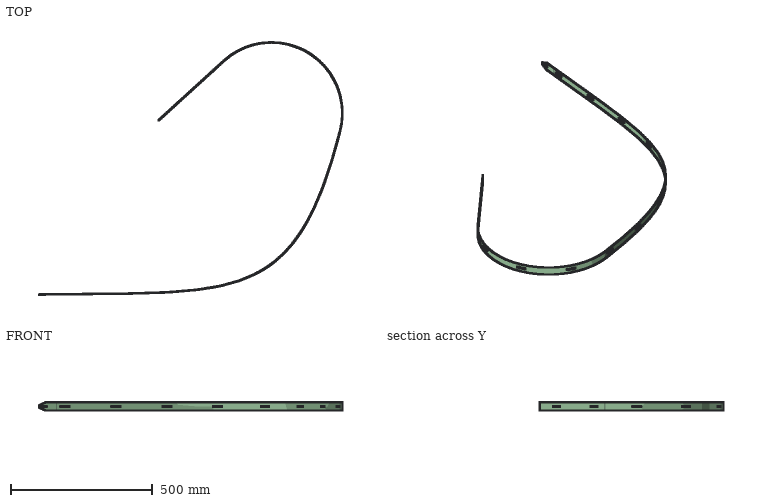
import cadquery as cq
import math

STRIP_WIDTH = 30.0
STRIP_THICKNESS = 2.0

HOOK_RADIUS = 250.0
HOOK_START_ANGLE = -14.3
HOOK_END_ANGLE = 132.35
END_LENGTH = 312.0
TAIL_JOIN = (-758.8, -639.7)
TAIL_ANGLE = 0.75
TAIL_LENGTH = 63.0

TAIL_HANDLE = 643.6
HOOK_HANDLE = 630.0

TIP_WIDTH = 8.0
TIP_LENGTH = 24.0

SLOT_HEIGHT = 3.0
SLOT_LENGTH = 32.0
SLOT_PITCH = 180.0
SLOT_COUNT = 13
FIRST_SLOT = 92.0
TIP_SLOT_LENGTH = 22.0
TIP_SLOT = 16.5


def heading(angle):
    """Unit vector in the XY plane at an angle in degrees from +X."""
    return cq.Vector(math.cos(math.radians(angle)), math.sin(math.radians(angle)))


def build_centre_line():
    """Straight tail, Bezier bend, hook arc and straight end, each tangent to the next."""
    tail_direction = heading(TAIL_ANGLE)
    tail_join = cq.Vector(*TAIL_JOIN)
    tip = tail_join - tail_direction * TAIL_LENGTH

    hook_start = heading(HOOK_START_ANGLE) * HOOK_RADIUS
    hook_middle = heading((HOOK_START_ANGLE + HOOK_END_ANGLE) / 2) * HOOK_RADIUS
    hook_end = heading(HOOK_END_ANGLE) * HOOK_RADIUS
    bend_points = [
        tail_join,
        tail_join + tail_direction * TAIL_HANDLE,
        hook_start - heading(HOOK_START_ANGLE + 90) * HOOK_HANDLE,
        hook_start,
    ]
    strip_end = hook_end + heading(HOOK_END_ANGLE + 90) * END_LENGTH

    return cq.Wire.assembleEdges(
        [
            cq.Edge.makeLine(tip, tail_join),
            cq.Edge.makeBezier(bend_points),
            cq.Edge.makeThreePointArc(hook_start, hook_middle, hook_end),
            cq.Edge.makeLine(hook_end, strip_end),
        ]
    )


def plane_at(centre_line, distance):
    """Plane at a distance from the tip: x along the strip, y across its width."""
    fraction = distance / centre_line.Length()
    origin = centre_line.positionAt(fraction)
    direction = centre_line.tangentAt(fraction)
    return cq.Plane(origin, direction, direction.cross(cq.Vector(0, 0, 1)))


def build_strip(centre_line):
    """Rectangular section swept along the centre line."""
    start = centre_line.positionAt(0)
    section = cq.Plane(start, (0, 0, 1), centre_line.tangentAt(0))
    return (
        cq.Workplane(section)
        .rect(STRIP_WIDTH, STRIP_THICKNESS)
        .sweep(cq.Workplane(centre_line), transition="right")
    )


def tip_corner_cutter(centre_line, side):
    """Triangular prism that bevels one corner of the tip; side is +1 or -1."""
    corners = [
        (0, side * TIP_WIDTH / 2),
        (0, side * STRIP_WIDTH / 2),
        (TIP_LENGTH, side * STRIP_WIDTH / 2),
    ]
    return (
        cq.Workplane(plane_at(centre_line, 0))
        .polyline(corners)
        .close()
        .extrude(STRIP_THICKNESS, both=True)
    )


def slot_cutter(centre_line, distance, length):
    """Rectangular prism through the strip, centred at a distance from the tip."""
    return (
        cq.Workplane(plane_at(centre_line, distance))
        .rect(length, SLOT_HEIGHT)
        .extrude(2 * STRIP_THICKNESS, both=True)
    )


centre_line = build_centre_line()
result = build_strip(centre_line)
for side in (1, -1):
    result = result.cut(tip_corner_cutter(centre_line, side))
result = result.cut(slot_cutter(centre_line, TIP_SLOT, TIP_SLOT_LENGTH))
for index in range(SLOT_COUNT):
    distance = FIRST_SLOT + index * SLOT_PITCH
    result = result.cut(slot_cutter(centre_line, distance, SLOT_LENGTH))